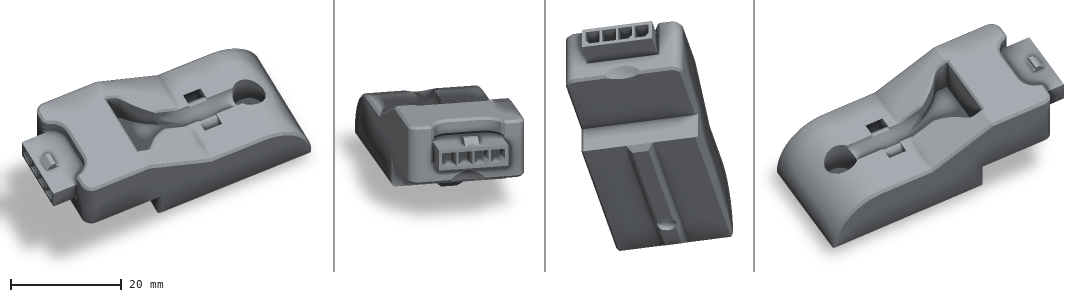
import cadquery as cq
import math


WIDTH = 21.6
BACK_Y = 50.1
FRONT_Y = 4.5
HEIGHT = 16.95
BASE_Z = 1.0
DECK_Z = 11.4
OVERHANG_Z = 6.0
STEP_Y = 19.15
RAMP_TOP_Y = 17.3
RAMP_FOOT_Y = 29.65
BACK_RADIUS = 9.85
CORNER_RADIUS = 1.95
EDGE_CHAMFER = 0.45

RIB_WIDTH = 4.9
RIB_BACK_INSET = 0.25

SCREW_Y = 42.7
SCREW_HOLE_DIAMETER = 3.5
SCREW_HEAD_DIAMETER = 6.0
SCREW_SEAT_Z = 5.0

TROUGH_DIAMETER = 3.9
TROUGH_RADIUS = TROUGH_DIAMETER / 2
TROUGH_AXIS_Z = 11.75
FUNNEL_DROP = 0.05
FLOOR_Z = TROUGH_AXIS_Z - TROUGH_RADIUS - FUNNEL_DROP
FUNNEL_FRONT_Y = 17.0
FUNNEL_HALF_WIDTH = 6.45
FUNNEL_CHAMFER = 0.35
THROAT_CHAMFER = 0.6
FUNNEL_TIP_Y = 27.7
FUNNEL_THROAT = (TROUGH_RADIUS, 24.7)
FUNNEL_FLARE_MID = (3.65, 22.05)
FUNNEL_FLARE_END = (5.75, 19.95)
FUNNEL_SIDE_START_Y = 18.6
TIE_Y = 33.3
TIE_WIDTH = 3.5
TIE_AXIS_Z = 7.5
TIE_INNER_RADIUS = 4.2
TIE_OUTER_RADIUS = 5.85
TIE_LIP_RADIUS = 0.5

CONNECTOR_WIDTH = 12.9
CONNECTOR_BOTTOM_Z = 9.95
CONNECTOR_TOP_Z = 13.9
CONNECTOR_BACK_Y = 10.5
SOCKET_PITCH = 3.0
SOCKET_SIZE = 2.6
SOCKET_CHAMFER = 0.7
SOCKET_DEPTH = 4.0
SOCKET_KEYS = ["<X", None, ">X", ">X"]
LATCH_WIDTH = 2.65
LATCH_PROFILE = [(1.0, 0.0), (2.1, 1.1), (2.25, 1.2), (3.0, 1.2), (3.0, 0.55), (3.55, 0.0)]

NOTCH_HALF_WIDTH = CONNECTOR_WIDTH / 2
NOTCH_BACK_Y = 7.55
NOTCH_CORNER_RADIUS = 3.4
NOTCH_FLARE = 0.55

DIMPLE_Z = 3.95
DIMPLE_RADIUS = 6.1
DIMPLE_CENTRE_OFFSET = 4.55


def block(x_size, y_min, y_max, z_min, z_max):
    """Box centred on X = 0."""
    corner = (-x_size / 2, y_min, z_min)
    return cq.Workplane(cq.Solid.makeBox(x_size, y_max - y_min, z_max - z_min, cq.Vector(*corner)))


def envelope():
    """Side profile extruded across the width, front corners rounded, outer edges chamfered."""
    arc_centre_z = DECK_Z - BACK_RADIUS
    arc_mid = BACK_RADIUS * math.sqrt(0.5)
    arc_start_y = BACK_Y - BACK_RADIUS
    body = (
        cq.Workplane("YZ")
        .moveTo(BACK_Y, BASE_Z)
        .lineTo(BACK_Y, arc_centre_z)
        .threePointArc((arc_start_y + arc_mid, arc_centre_z + arc_mid), (arc_start_y, DECK_Z))
        .lineTo(RAMP_FOOT_Y, DECK_Z)
        .lineTo(RAMP_TOP_Y, HEIGHT)
        .lineTo(FRONT_Y, HEIGHT)
        .lineTo(FRONT_Y, OVERHANG_Z)
        .lineTo(STEP_Y, OVERHANG_Z)
        .lineTo(STEP_Y, BASE_Z)
        .close()
        .extrude(WIDTH / 2, both=True)
    )
    body = body.faces("<Y").edges("|Z").fillet(CORNER_RADIUS)
    front_edges = body.faces("<Y").edges("|X")
    side_edges = body.faces("<X or >X").edges()
    front_seams = body.faces("<X or >X").edges("|Z").edges("<Y")
    outer_edges = front_edges.add(side_edges).vals()
    sharp_edges = [edge for edge in outer_edges if not any(edge.isSame(seam) for seam in front_seams.vals())]
    return body.newObject(sharp_edges).chamfer(EDGE_CHAMFER)


def rib():
    """Flat-topped rib under the base with 45-degree flanks and ends."""
    back_y = BACK_Y - RIB_BACK_INSET
    return (
        cq.Workplane("XY", origin=(0, (back_y + STEP_Y) / 2, BASE_Z))
        .rect(RIB_WIDTH, back_y - STEP_Y)
        .extrude(-BASE_Z, taper=45)
    )


def screw_hole():
    """Through hole with a deep flat-bottomed counterbore."""
    hole = cq.Workplane("XY", origin=(0, SCREW_Y, 0)).circle(SCREW_HOLE_DIAMETER / 2).extrude(HEIGHT)
    seat = cq.Workplane("XY", origin=(0, SCREW_Y, SCREW_SEAT_Z))
    head = seat.circle(SCREW_HEAD_DIAMETER / 2).extrude(HEIGHT)
    return hole.union(head)


def trough():
    """Round-bottomed cable trough, open at the top, from the screw hole to the funnel."""
    end_y = FUNNEL_THROAT[1]
    start = cq.Workplane("XZ", origin=(0, SCREW_Y, TROUGH_AXIS_Z))
    bottom = start.circle(TROUGH_RADIUS).extrude(SCREW_Y - end_y)
    return bottom.union(block(TROUGH_DIAMETER, end_y, SCREW_Y, TROUGH_AXIS_Z, HEIGHT))


def funnel():
    """Flared pocket where the cable spreads out towards the connector."""
    right_half = (
        cq.Workplane("XY", origin=(0, 0, FLOOR_Z))
        .moveTo(0, FUNNEL_FRONT_Y)
        .lineTo(0, FUNNEL_TIP_Y)
        .lineTo(*FUNNEL_THROAT)
        .threePointArc(FUNNEL_FLARE_MID, FUNNEL_FLARE_END)
        .tangentArcPoint((FUNNEL_HALF_WIDTH, FUNNEL_SIDE_START_Y), relative=False)
        .lineTo(FUNNEL_HALF_WIDTH, FUNNEL_FRONT_Y)
        .close()
        .extrude(HEIGHT)
    )
    return right_half.union(right_half.mirror("YZ"))


def tie_passage():
    """Ring-shaped passage for a cable tie looping under the trough."""
    return (
        cq.Workplane("XZ", origin=(0, TIE_Y + TIE_WIDTH / 2, TIE_AXIS_Z))
        .circle(TIE_OUTER_RADIUS)
        .circle(TIE_INNER_RADIUS)
        .extrude(TIE_WIDTH)
    )


def notch_outline(z):
    """Thumb notch plan at height z, running out past the front face."""
    side_end_y = NOTCH_BACK_Y - NOTCH_CORNER_RADIUS
    back_half_width = NOTCH_HALF_WIDTH - NOTCH_CORNER_RADIUS
    return (
        cq.Workplane("XY", origin=(0, 0, z))
        .moveTo(-NOTCH_HALF_WIDTH, 0)
        .lineTo(-NOTCH_HALF_WIDTH, side_end_y)
        .radiusArc((-back_half_width, NOTCH_BACK_Y), NOTCH_CORNER_RADIUS)
        .lineTo(back_half_width, NOTCH_BACK_Y)
        .radiusArc((NOTCH_HALF_WIDTH, side_end_y), NOTCH_CORNER_RADIUS)
        .lineTo(NOTCH_HALF_WIDTH, 0)
        .close()
    )


def thumb_notch():
    """Notch above the connector, flared at its top and bottom edges."""
    straight = notch_outline(CONNECTOR_TOP_Z).extrude(HEIGHT - CONNECTOR_TOP_Z)
    top_flare = notch_outline(HEIGHT - EDGE_CHAMFER).extrude(EDGE_CHAMFER, taper=-45)
    bottom_flare = notch_outline(CONNECTOR_TOP_Z + NOTCH_FLARE).extrude(-NOTCH_FLARE, taper=-45)
    return straight.union(top_flare).union(bottom_flare)


def connector_opening():
    """Hole that fits the connector, with its sides and bottom chamfered up the front face."""
    hole = block(CONNECTOR_WIDTH, 0, CONNECTOR_BACK_Y, CONNECTOR_BOTTOM_Z, CONNECTOR_TOP_Z)
    mouth_height = HEIGHT - CONNECTOR_BOTTOM_Z
    mouth = (
        cq.Workplane("XZ", origin=(0, FRONT_Y, HEIGHT))
        .rect(CONNECTOR_WIDTH + 2 * EDGE_CHAMFER, 2 * (mouth_height + EDGE_CHAMFER))
        .extrude(-EDGE_CHAMFER, taper=45)
    )
    return hole.union(mouth)


def dimple():
    """Shallow spherical recess whose centre lies ahead of the front face."""
    return cq.Workplane("XY", origin=(0, FRONT_Y - DIMPLE_CENTRE_OFFSET, DIMPLE_Z)).sphere(DIMPLE_RADIUS)


def throat_chamfer(body):
    """Chamfer the edge where the trough floor drops into the tip of the funnel."""
    edge_middle = (-TROUGH_RADIUS / 2, (FUNNEL_TIP_Y + FUNNEL_THROAT[1]) / 2, FLOOR_Z + TROUGH_RADIUS / 4)
    throat = cq.selectors.NearestToPointSelector(edge_middle)
    return body.edges("%ELLIPSE").edges(throat).chamfer(THROAT_CHAMFER)


def ramp_edge_chamfer(body):
    """Chamfer the rim of the funnel and of the trough where they cut through the ramp."""
    margin = 0.05
    rim = cq.selectors.BoxSelector(
        (-FUNNEL_HALF_WIDTH - margin, FUNNEL_FRONT_Y - margin, DECK_Z + margin),
        (-margin, RAMP_FOOT_Y - margin, HEIGHT + margin),
    )
    return body.edges(rim).edges("not |Z").chamfer(FUNNEL_CHAMFER)


def tie_lip_fillet(body):
    """Round the crest between the trough and the tie passage."""
    crest = cq.selectors.NearestToPointSelector((-TROUGH_RADIUS, TIE_Y, DECK_Z - TIE_LIP_RADIUS / 2))
    return body.edges("|Y").edges(crest).fillet(TIE_LIP_RADIUS)


def housing_half():
    """The -X half of the housing, which is split along its plane of symmetry."""
    left_space = block(WIDTH, 0, BACK_Y, 0, HEIGHT).translate((-WIDTH / 2, 0, 0))
    body = envelope().intersect(left_space)
    body = body.cut(trough()).cut(funnel())
    body = throat_chamfer(ramp_edge_chamfer(body))
    body = tie_lip_fillet(body.cut(tie_passage()))
    body = body.union(rib().intersect(left_space)).cut(screw_hole())
    return body.cut(thumb_notch()).cut(connector_opening()).cut(dimple())


def connector():
    """Four-way connector shell with open sockets in front and a latch on top."""
    body = block(CONNECTOR_WIDTH, 0, CONNECTOR_BACK_Y, CONNECTOR_BOTTOM_Z, CONNECTOR_TOP_Z)
    socket_z = (CONNECTOR_BOTTOM_Z + CONNECTOR_TOP_Z) / 2
    for index, keyed in enumerate(SOCKET_KEYS):
        socket_x = (index - (len(SOCKET_KEYS) - 1) / 2) * SOCKET_PITCH
        socket_mouth = cq.Workplane("XZ", origin=(socket_x, 0, socket_z))
        socket = socket_mouth.rect(SOCKET_SIZE, SOCKET_SIZE).extrude(-SOCKET_DEPTH)
        if keyed:
            socket = socket.edges("|Y").edges("<Z").edges(keyed).chamfer(SOCKET_CHAMFER)
        body = body.cut(socket)
    latch = (
        cq.Workplane("YZ", origin=(0, 0, CONNECTOR_TOP_Z))
        .polyline(LATCH_PROFILE)
        .close()
        .extrude(LATCH_WIDTH / 2, both=True)
    )
    return body.union(latch)


left_half = housing_half()
right_half = left_half.mirror("YZ")
plug = connector()

result = cq.Compound.makeCompound([left_half.val(), right_half.val(), plug.val()])